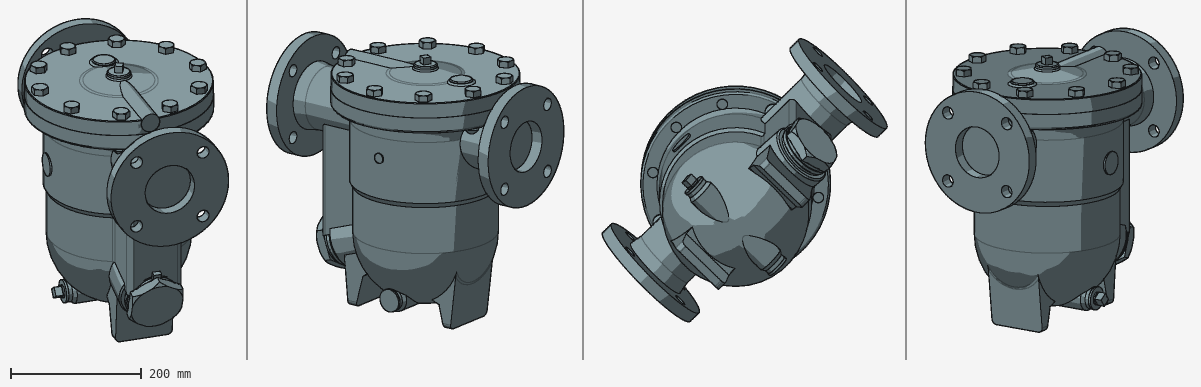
import cadquery as cq
import math


total_length = 426.0
inlet_face_x = -193.5
outlet_face_x = inlet_face_x + total_length
pipe_radius = 100.0 / 2
pipe_flange_radius = 191.0 / 2
pipe_flange_thickness = 19.0
hub_radius = 53.5
hub_length = 20.5
bore_radius = 80.0 / 2
bore_depth = 19.0
pipe_bolt_hole_diameter = 19.0
pipe_bolt_circle = 152.5

body_flange_radius = 290.0 / 2
joint_z = 55.5
body_flange_bottom_z = 30.2
flange_edge_rounding = 3.5
neck_top_radius = 120.0
neck_bottom_z = 6.5
upper_radius = 116.5
upper_bottom_z = -92.0
barrel_radius = 111.5
barrel_top_z = -100.0
barrel_bottom_z = -174.2

cover_radius = 144.5
cover_top_z = 79.2
cover_edge_chamfer = 1.3
cone_flare_radius = 60.0
cone_base_radius = 55.0
cone_base_rise = 1.0
cone_top_z = 87.8
vent_radius = 36.0 / 2
vent_foot_radius = 20.25
vent_foot_sink = 1.0
vent_foot_rise = 2.0
vent_top_z = 95.0
vent_edge_chamfer = 1.5
vent_plug_top_z = 106.0
vent_plug_side = 12.5
vent_plug_turn = 62
rib_radius = 15.0
pad_x = -68.5
pad_radius = 36.0 / 2
pad_foot_radius = 22.0
pad_height = 5.0
pad_foot_height = 2.5
pad_edge_chamfer = 1.5

bolt_count = 10
bolt_pitch = 360 / bolt_count
bolt_circle_radius = 128.0
bolt_head_width = 26.5
bolt_head_height = 10.2
bolt_head_bevel = 1.5
bolt_shank_diameter = 16.0
bolt_tip_z = 29.0
bolt_boss_radius = 12.8
bolt_boss_straight_z = 26.0
bolt_boss_bottom_z = 16.5

front_boss_radius = 36.0 / 2
front_boss_z = -44.5
back_boss_radius = 16.0 / 2
back_boss_z = -27.0
wall_boss_reach = 118.0

box_half_width = 44.0
box_top_z = -24.3
box_outer_x = 168.0
box_edge_radius = 8.5
box_overlap = 15.0
blend_radius = 4.3
strainer_tilt = 19.3
strainer_end_x = 144.5
strainer_end_z = -214.0
strainer_radius = 100.0 / 2
strainer_length = 102.2
strainer_edge_chamfer = 2.5
collar_radius = 41.5
collar_length = 16.0
rim_start = 5.0
rim_length = 6.0
rim_radius = 43.5
strainer_nut_width = 94.5
strainer_nut_thickness = 16.0
strainer_nut_bevel = 5.5
lug_start = 9.5
lug_length = 7.2
lug_width = 12.8
lug_reach = 52.5

foot_width = 92.0
total_height = 412.0
foot_bottom_z = vent_plug_top_z - total_height
foot_corner_radius = 8.0
foot_blend_radius = 8.5

drain_z = -263.3
drain_radius = 21.5
drain_shoulder_radius = 17.5
drain_rim_radius = 36.0 / 2
drain_tube_end = 75.0
drain_shoulder_start = 81.0
drain_rim_start = 87.5
drain_end = 91.0
drain_neck_radius = 10.2
drain_neck_end = 93.7
drain_plug_end = 105.5
drain_plug_side = 14.5
drain_plug_turn = 36


def z_cylinder(radius, bottom, top, x=0.0):
    return cq.Workplane("XY", origin=(x, 0, bottom)).circle(radius).extrude(top - bottom)


def z_cone(bottom_radius, top_radius, bottom, top, x=0.0):
    solid = cq.Solid.makeCone(bottom_radius, top_radius, top - bottom, cq.Vector(x, 0, bottom))
    return cq.Workplane(solid)


def hex_head(base, width, height, bevel):
    """Hex prism, given by its width across corners, with a conical bevel on its outer corners."""
    outward = base.plane.zDir
    prism = base.transformed(rotate=(0, 0, 90)).polygon(6, width).extrude(height)
    blank = base.circle(width / 2).extrude(height)
    blank = blank.faces(cq.DirectionMinMaxSelector(outward, True)).chamfer(bevel)
    return prism.intersect(blank)


def make_body():
    """Turned vessel: bolted flange, flared neck, stepped barrel and round bottom."""
    flare_mid = (upper_radius + 1.0, (neck_bottom_z + body_flange_bottom_z) / 2)
    dome_mid = barrel_radius * math.sqrt(0.5)
    profile = (
        cq.Workplane("XZ")
        .moveTo(0, joint_z)
        .lineTo(body_flange_radius, joint_z)
        .lineTo(body_flange_radius, body_flange_bottom_z + flange_edge_rounding)
        .radiusArc((body_flange_radius - flange_edge_rounding, body_flange_bottom_z), flange_edge_rounding)
        .lineTo(neck_top_radius, body_flange_bottom_z)
        .threePointArc(flare_mid, (upper_radius, neck_bottom_z))
        .lineTo(upper_radius, upper_bottom_z)
        .lineTo(barrel_radius, barrel_top_z)
        .lineTo(barrel_radius, barrel_bottom_z)
        .threePointArc((dome_mid, barrel_bottom_z - dome_mid), (0, barrel_bottom_z - barrel_radius))
        .close()
    )
    return profile.revolve(360, (0, 0, 0), (0, 1, 0))


def make_pipe(face_x, inward):
    """Pipe from the vessel axis to a flange; inward is +1 or -1 along X."""
    flange_back_x = face_x + inward * pipe_flange_thickness
    hub_end_x = flange_back_x + inward * hub_length
    pipe = (
        cq.Workplane("XY")
        .moveTo(0, 0)
        .lineTo(0, pipe_radius)
        .lineTo(hub_end_x, pipe_radius)
        .lineTo(flange_back_x, hub_radius)
        .lineTo(flange_back_x, pipe_flange_radius)
        .lineTo(face_x, pipe_flange_radius)
        .lineTo(face_x, 0)
        .close()
        .revolve(360, (0, 0, 0), (1, 0, 0))
    )
    bore = cq.Workplane("YZ", origin=(face_x, 0, 0)).circle(bore_radius).extrude(inward * bore_depth)
    holes = (
        cq.Workplane("YZ", origin=(face_x, 0, 0))
        .polarArray(pipe_bolt_circle / 2, 45, 360, 4)
        .circle(pipe_bolt_hole_diameter / 2)
        .extrude(inward * pipe_flange_thickness)
    )
    return pipe.cut(bore).cut(holes)


def make_cover():
    """Cover disc with a low cone, vent boss, round pad and radial half-round rib."""
    cover = z_cylinder(cover_radius, joint_z, cover_top_z).faces(">Z").chamfer(cover_edge_chamfer)
    cone_base_z = cover_top_z + cone_base_rise
    flare = z_cone(cone_flare_radius, cone_base_radius, cover_top_z, cone_base_z)
    cone = z_cone(cone_base_radius, vent_radius, cone_base_z, cone_top_z).union(flare)
    vent_foot = z_cone(
        vent_foot_radius, vent_radius, cone_top_z - vent_foot_sink, cone_top_z + vent_foot_rise
    )
    vent = z_cylinder(vent_radius, cover_top_z, vent_top_z).faces(">Z").chamfer(vent_edge_chamfer)
    plug = (
        cq.Workplane("XY", origin=(0, 0, vent_top_z))
        .transformed(rotate=(0, 0, vent_plug_turn))
        .rect(vent_plug_side, vent_plug_side)
        .extrude(vent_plug_top_z - vent_top_z)
    )
    pad_foot = z_cone(pad_foot_radius, pad_radius, cover_top_z, cover_top_z + pad_foot_height, pad_x)
    pad = z_cylinder(pad_radius, cover_top_z, cover_top_z + pad_height, pad_x)
    pad = pad.faces(">Z").chamfer(pad_edge_chamfer).union(pad_foot)
    rib = (
        cq.Workplane("YZ")
        .center(0, cone_top_z - rib_radius)
        .circle(rib_radius)
        .extrude(body_flange_radius)
    )
    return cover.union(cone).union(vent_foot).union(vent).union(plug).union(pad).union(rib)


def make_bolt(angle):
    """Hex head above the cover and a shank tip just below the body flange."""
    seat = cq.Workplane("XY", origin=(bolt_circle_radius, 0, cover_top_z))
    head = hex_head(seat, bolt_head_width, bolt_head_height, bolt_head_bevel)
    shank = z_cylinder(bolt_shank_diameter / 2, bolt_tip_z, cover_top_z, bolt_circle_radius)
    return head.union(shank).rotate((0, 0, 0), (0, 0, 1), angle)


def make_bolt_boss(angle):
    """Round-ended boss under the body flange for a bolt beside a pipe."""
    cap_height = bolt_boss_straight_z - bolt_boss_bottom_z
    cap_radius = (bolt_boss_radius**2 + cap_height**2) / (2 * cap_height)
    boss = (
        cq.Workplane("XZ")
        .moveTo(0, joint_z)
        .lineTo(bolt_boss_radius, joint_z)
        .lineTo(bolt_boss_radius, bolt_boss_straight_z)
        .radiusArc((0, bolt_boss_bottom_z), cap_radius)
        .close()
        .revolve(360, (0, 0, 0), (0, 1, 0))
    )
    return boss.translate((bolt_circle_radius, 0, 0)).rotate((0, 0, 0), (0, 0, 1), angle)


def make_wall_boss(radius, z, side):
    """Low round boss on the -Y (side = -1) or +Y (side = 1) wall."""
    return cq.Workplane("XZ", origin=(0, 0, z)).circle(radius).extrude(-side * wall_boss_reach)


def make_outlet_box():
    """Passage beside the barrel whose underside follows the strainer tilt."""
    slope = math.tan(math.radians(strainer_tilt))
    underside_z = strainer_end_z + box_overlap / math.cos(math.radians(strainer_tilt))
    outline = [
        (0, box_top_z),
        (box_outer_x, box_top_z),
        (box_outer_x, underside_z - slope * (box_outer_x - strainer_end_x)),
        (0, underside_z + slope * strainer_end_x),
    ]
    box = cq.Workplane("XZ").polyline(outline).close().extrude(box_half_width, both=True)
    return box.edges("|Z and >X").fillet(box_edge_radius)


def make_strainer():
    """Tilted housing with a collar, a rim, a hex plug and a small lug on the upper side."""
    tilt = math.radians(strainer_tilt)
    outward = cq.Vector(math.cos(tilt), 0, -math.sin(tilt))
    plane = cq.Plane((strainer_end_x, 0, strainer_end_z), (0, 1, 0), outward)
    housing = cq.Workplane(plane).circle(strainer_radius).extrude(-strainer_length)
    housing = housing.faces(cq.DirectionMinMaxSelector(outward, True)).chamfer(strainer_edge_chamfer)
    collar = cq.Workplane(plane).circle(collar_radius).extrude(collar_length)
    rim = cq.Workplane(plane).workplane(offset=rim_start).circle(rim_radius).extrude(rim_length)
    nut_base = cq.Workplane(plane).workplane(offset=collar_length)
    nut = hex_head(nut_base, strainer_nut_width, strainer_nut_thickness, strainer_nut_bevel)
    lug = (
        cq.Workplane(plane)
        .workplane(offset=lug_start)
        .center(0, lug_reach / 2)
        .rect(lug_width, lug_reach)
        .extrude(lug_length)
    )
    return housing.union(collar).union(rim).union(nut).union(lug)


def make_foot(outline):
    """Wide foot cut from an XZ outline, with rounded lower corners."""
    foot = cq.Workplane("XZ").polyline(outline).close().extrude(foot_width / 2, both=True)
    return foot.faces("<Z").edges("|X").fillet(foot_corner_radius)


def make_inlet_foot():
    return make_foot([
        (-82.5, foot_bottom_z),
        (-95.5, -200.2),
        (-42.5, -200.2),
        (-42.5, -262.0),
        (-61.0, -269.2),
        (-70.0, foot_bottom_z),
    ])


def make_outlet_foot():
    return make_foot([
        (113.7, foot_bottom_z),
        (122.0, -217.3),
        (51.0, -204.5),
        (76.5, -247.0),
        (85.0, -253.5),
        (99.3, foot_bottom_z),
    ])


def make_drain():
    """Cross tube under the dome with a stepped end each way and a square plug at -Y."""
    half = (
        cq.Workplane("XY")
        .moveTo(0, 0)
        .lineTo(drain_radius, 0)
        .lineTo(drain_radius, -drain_tube_end)
        .lineTo(drain_shoulder_radius, -drain_shoulder_start)
        .lineTo(drain_shoulder_radius, -drain_rim_start)
        .lineTo(drain_rim_radius, -drain_rim_start)
        .lineTo(drain_rim_radius, -drain_end)
        .lineTo(0, -drain_end)
        .close()
        .revolve(360, (0, 0, 0), (0, 1, 0))
    )
    neck = cq.Workplane("XZ").circle(drain_neck_radius).extrude(drain_neck_end)
    plug = (
        cq.Workplane("XZ")
        .transformed(rotate=(0, 0, drain_plug_turn))
        .rect(drain_plug_side, drain_plug_side)
        .extrude(drain_plug_end)
    )
    drain = half.union(half.mirror("XZ")).union(neck).union(plug)
    return drain.translate((0, 0, drain_z))


def blend_edges(solid, low, high, radius):
    """Round the edges whose centres lie in the box between two corner points."""
    return solid.edges(cq.selectors.BoxSelector(low, high)).fillet(radius)


result = make_body().union(make_inlet_foot())
result = blend_edges(result, (-106.5, -4.3, -264), (-81, 4.3, -213), foot_blend_radius)

result = result.union(make_outlet_box())
barrel_joint_x = math.sqrt(barrel_radius**2 - box_half_width**2)
for side in (-1, 1):
    joint_y = side * box_half_width
    result = blend_edges(
        result,
        (barrel_joint_x - 0.5, joint_y - 0.5, barrel_bottom_z),
        (barrel_joint_x + 0.5, joint_y + 0.5, barrel_top_z),
        blend_radius,
    )

result = result.union(make_pipe(inlet_face_x, 1)).union(make_pipe(outlet_face_x, -1))
result = result.union(make_strainer())
result = result.union(make_outlet_foot())
result = result.union(make_drain()).union(make_cover())
result = result.union(make_wall_boss(front_boss_radius, front_boss_z, -1))
result = result.union(make_wall_boss(back_boss_radius, back_boss_z, 1))

for index in range(bolt_count):
    result = result.union(make_bolt(bolt_pitch * (index + 0.5)))

for boss_angle in (bolt_pitch / 2, 180 - bolt_pitch / 2, 180 + bolt_pitch / 2, -bolt_pitch / 2):
    result = result.union(make_bolt_boss(boss_angle))